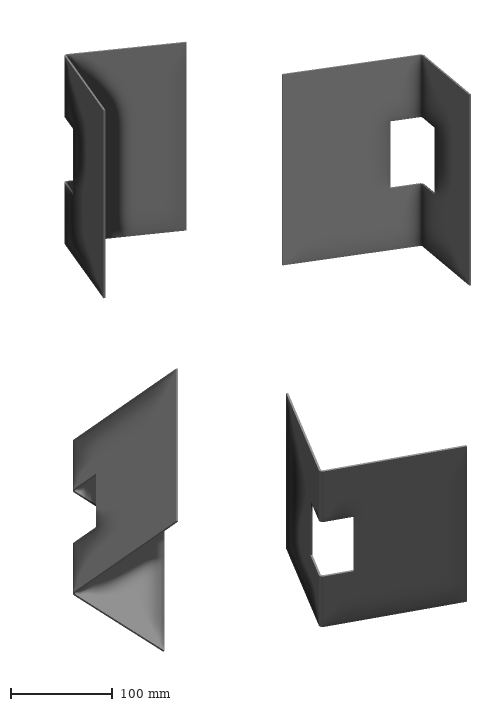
import cadquery as cq

width = 150.0
depth = 125.0
height = 200.0

thickness = 2.0
inner_bend_radius = 2.0
outer_bend_radius = inner_bend_radius + thickness

window_reach = 35.0
window_height = 70.0


def angle_sheet():
    """L-shaped sheet with its outer corner at the origin and a rounded bend."""
    outer = cq.Workplane("XY").rect(width, depth, centered=False).extrude(height)
    outer = outer.edges("|Z and <X and <Y").fillet(outer_bend_radius)
    inside = (
        cq.Workplane("XY")
        .move(thickness, thickness)
        .rect(width, depth, centered=False)
        .extrude(height)
        .edges("|Z and <X and <Y")
        .fillet(inner_bend_radius)
    )
    return outer.cut(inside)


def corner_window():
    """Block that removes the same length from both legs, across the bend."""
    return (
        cq.Workplane("XY")
        .workplane(offset=(height - window_height) / 2)
        .rect(window_reach, window_reach, centered=False)
        .extrude(window_height)
    )


result = angle_sheet().cut(corner_window())